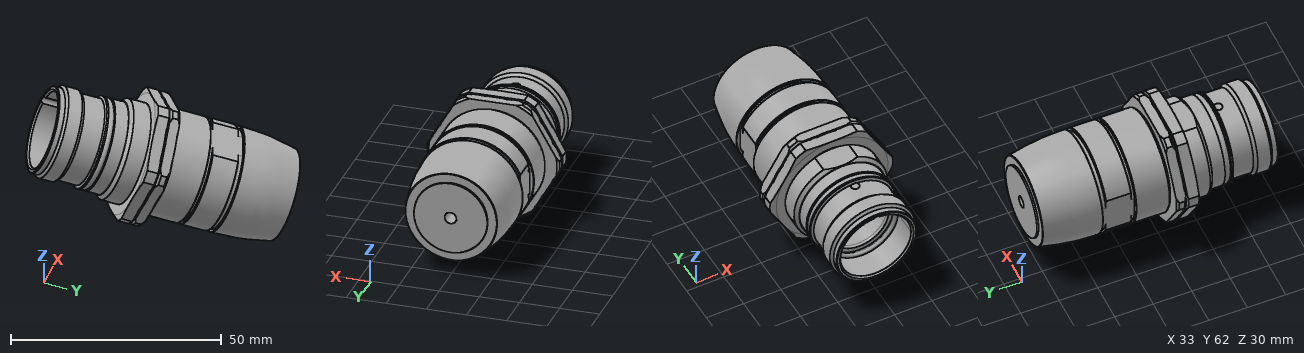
import cadquery as cq
import math

length = 61.95

rim_dia = 21.5
rim_chamfer = 0.2
collar_dia = 22.9
collar_front_at = 2.15
collar_front_chamfer = 0.6
collar_back_at = 5.65
neck_front_at = 6.45
flange_at = 11.95
flange_chamfer = 0.3
seal_groove_at = 12.4
seal_groove_dia = 20.8
shoulder_at = 14.1
barrel_at = 17.5
barrel_chamfer = 0.9
barrel_dia = 25.0
flange_lead_in_dia = 25.15
barrel_flat_height = 11.65

hex_corner_dia = 33.0
flange_hex_at = 22.8
flange_hex_width = 30.0
flange_hex_thickness = 3.05
flange_hex_corner_drop = 0.25
washer_thickness = 0.4
nut_width = 29.75
nut_thickness = 2.55
nut_face_dia = 31.9
nut_corner_chamfer = 0.55
washer_at = flange_hex_at + flange_hex_thickness
nut_at = washer_at + washer_thickness
nut_back_at = nut_at + nut_thickness

body_dia = 26.3
body_front_chamfer = 0.45
edge_break = 0.1
nut_gap = 0.1
body_at = nut_back_at + nut_gap
body_back_at = 37.9
ring_front_at = 38.7
ring_back_at = 45.35
cap_at = 46.45
groove_dia = 24.9
wrench_flat_width = 24.15
cap_back_at = 61.45
cap_back_dia = 22.9
plug_dia = 18.3

mouth_dia = 19.8
mouth_chamfer = 0.5
bore_dia = 18.95
bore_seal_inner_dia = 17.15
bore_seal_section_dia = 1.55
seat_depth = 8.75
bore_seal_middle = seat_depth - bore_seal_section_dia / 2
pocket_dia = 15.1
pocket_lead_in = 0.25
pocket_lead_in_depth = 0.85
pocket_floor_dia = 12.75
pocket_depth = 27.9
pocket_cone_angle = 30.0
cable_hole_dia = 2.9

pin_dia = 2.1
pin_at = 10.9
pin_top = 10.8
key_groove_dia = 2.15
key_groove_height = 9.1


def cylinder(dia, start, end):
    """Cylinder on the Y axis between two positions."""
    return cq.Workplane("XZ", origin=(0, start, 0)).circle(dia / 2).extrude(start - end)


def revolve_about_y(profile):
    """Close a half profile along the Y axis and turn it into a solid."""
    return profile.close().revolve(360, (0, 0, 0), (0, 1, 0))


def turned_body():
    """Everything that is round on the outside, as one half profile."""
    rim_r = rim_dia / 2
    collar_r = collar_dia / 2
    barrel_r = barrel_dia / 2
    body_r = body_dia / 2
    groove_r = groove_dia / 2
    seal_groove_r = seal_groove_dia / 2

    cap_back_r = cap_back_dia / 2
    cap_front_edge_at = cap_at + edge_break
    cap_back_edge_at = cap_back_at - edge_break
    cap_run = cap_back_edge_at - cap_front_edge_at
    cap_drop = body_r - cap_back_r
    cap_arc_r = (cap_run**2 + cap_drop**2) / (2 * cap_drop)
    cap_half_angle = math.asin(cap_run / cap_arc_r) / 2
    cap_middle_r = body_r - cap_arc_r * (1 - math.cos(cap_half_angle))
    cap_middle_at = cap_front_edge_at + cap_arc_r * math.sin(cap_half_angle)

    profile = (
        cq.Workplane("XY")
        .moveTo(0, 0)
        .lineTo(rim_r - rim_chamfer, 0)
        .lineTo(rim_r, rim_chamfer)
        .lineTo(rim_r, collar_front_at - collar_front_chamfer)
        .lineTo(collar_r, collar_front_at)
        .lineTo(collar_r, collar_back_at)
        .lineTo(rim_r, neck_front_at)
        .lineTo(rim_r, flange_at - flange_chamfer)
        .lineTo(collar_r, flange_at)
        .lineTo(collar_r, seal_groove_at)
        .lineTo(seal_groove_r, seal_groove_at)
        .lineTo(seal_groove_r, shoulder_at)
        .lineTo(collar_r, shoulder_at)
        .lineTo(collar_r, barrel_at)
        .lineTo(barrel_r - barrel_chamfer, barrel_at)
        .lineTo(barrel_r, barrel_at + barrel_chamfer)
        .lineTo(barrel_r, body_at)
        .lineTo(body_r - body_front_chamfer, body_at)
        .lineTo(body_r, body_at + body_front_chamfer)
        .lineTo(body_r, body_back_at - edge_break)
        .lineTo(body_r - edge_break, body_back_at)
        .lineTo(groove_r, body_back_at)
        .lineTo(groove_r, ring_front_at)
        .lineTo(body_r - edge_break, ring_front_at)
        .lineTo(body_r, ring_front_at + edge_break)
        .lineTo(body_r, ring_back_at - edge_break)
        .lineTo(body_r - edge_break, ring_back_at)
        .lineTo(groove_r, ring_back_at)
        .lineTo(groove_r, cap_at)
        .lineTo(body_r - edge_break, cap_at)
        .lineTo(body_r, cap_front_edge_at)
        .threePointArc((cap_middle_r, cap_middle_at), (cap_back_r, cap_back_edge_at))
        .lineTo(cap_back_r - edge_break, cap_back_at)
        .lineTo(plug_dia / 2, cap_back_at)
        .lineTo(plug_dia / 2, length)
        .lineTo(0, length)
    )
    return revolve_about_y(profile)


def o_ring(middle_r, middle_at, section_r):
    """Ring of round section around the Y axis."""
    section = cq.Workplane("XY").center(-middle_r, middle_at).circle(section_r)
    return section.revolve(360, (middle_r, 0, 0), (middle_r, 1, 0))


def outer_seal():
    """O-ring filling the seal groove, level with the shoulders beside it."""
    section_r = (shoulder_at - seal_groove_at) / 2
    return o_ring(collar_dia / 2 - section_r, seal_groove_at + section_r, section_r)


def bore_seal():
    """O-ring resting on the seat and set about half its thickness into the bore wall."""
    section_r = bore_seal_section_dia / 2
    return o_ring(bore_seal_inner_dia / 2 + section_r, bore_seal_middle, section_r)


def hex_prism(width, start, thickness):
    """Hexagon with flats facing +Z and -Z."""
    corner_dia = width / math.cos(math.pi / 6)
    return cq.Workplane("XZ", origin=(0, start, 0)).polygon(6, corner_dia).extrude(-thickness)


def flange_hex():
    """Hexagon with rounded corners that slope back slightly at the front."""
    corner_r = hex_corner_dia / 2
    envelope = revolve_about_y(
        cq.Workplane("XY")
        .moveTo(0, flange_hex_at)
        .lineTo(flange_hex_width / 2, flange_hex_at)
        .lineTo(corner_r, flange_hex_at + flange_hex_corner_drop)
        .lineTo(corner_r, washer_at)
        .lineTo(0, washer_at)
    )
    return hex_prism(flange_hex_width, flange_hex_at, flange_hex_thickness).intersect(envelope)


def lock_nut():
    """Hexagon with rounded corners chamfered on both faces."""
    corner_r = hex_corner_dia / 2
    face_r = nut_face_dia / 2
    envelope = revolve_about_y(
        cq.Workplane("XY")
        .moveTo(0, nut_at)
        .lineTo(face_r, nut_at)
        .lineTo(corner_r, nut_at + nut_corner_chamfer)
        .lineTo(corner_r, nut_back_at - nut_corner_chamfer)
        .lineTo(face_r, nut_back_at)
        .lineTo(0, nut_back_at)
    )
    return hex_prism(nut_width, nut_at, nut_thickness).intersect(envelope)


def barrel_flat():
    """Material above the flat on top of the barrel."""
    return (
        cq.Workplane("XY", origin=(0, (barrel_at + flange_hex_at) / 2, barrel_flat_height))
        .rect(barrel_dia, flange_hex_at - barrel_at)
        .extrude(barrel_dia / 2)
    )


def flange_lead_in():
    """Countersink around the flange opening, exposed only above the barrel flat."""
    mouth_r = flange_lead_in_dia / 2
    bottom_at = flange_hex_at + mouth_r - barrel_flat_height
    cone = revolve_about_y(
        cq.Workplane("XY")
        .moveTo(0, flange_hex_at)
        .lineTo(mouth_r, flange_hex_at)
        .lineTo(barrel_flat_height, bottom_at)
        .lineTo(0, bottom_at)
    )
    above_flat = cq.Workplane("XY", origin=(0, flange_hex_at, barrel_flat_height)).box(
        flange_lead_in_dia, flange_lead_in_dia, flange_lead_in_dia, centered=(True, True, False)
    )
    return cone.intersect(above_flat)


def wrench_flats():
    """Material outside the two wrench flats on the +X and -X sides."""
    run = cap_at - body_back_at
    middle = (cap_at + body_back_at) / 2
    around = cq.Workplane("XY").box(2 * body_dia, run, 2 * body_dia)
    kept = cq.Workplane("XY").box(wrench_flat_width, run, 2 * body_dia)
    return around.cut(kept).translate((0, middle, 0))


def bore():
    """Stepped socket with a flat seat and a coned pocket floor."""
    bore_r = bore_dia / 2
    pocket_r = pocket_dia / 2
    floor_r = pocket_floor_dia / 2
    cone_depth = (pocket_r - floor_r) * math.tan(math.radians(pocket_cone_angle))
    profile = (
        cq.Workplane("XY")
        .moveTo(0, 0)
        .lineTo(mouth_dia / 2, 0)
        .lineTo(bore_r, mouth_chamfer)
        .lineTo(bore_r, seat_depth)
        .lineTo(pocket_r + pocket_lead_in, seat_depth)
        .lineTo(pocket_r, seat_depth + pocket_lead_in_depth)
        .lineTo(pocket_r, pocket_depth - cone_depth)
        .lineTo(floor_r, pocket_depth)
        .lineTo(0, pocket_depth)
    )
    return revolve_about_y(profile)


def key_groove():
    """Round-bottomed keyway along the top of the bore, from the rim to the inner seal."""
    return cylinder(key_groove_dia, 0, bore_seal_middle).translate((0, 0, key_groove_height))


def locating_pin():
    """Pin set in the neck wall with a flat top just clear of the neck."""
    base = (rim_dia + bore_dia) / 4
    return cq.Workplane("XY", origin=(0, pin_at, base)).circle(pin_dia / 2).extrude(pin_top - base)


washer = cylinder(flange_hex_width, washer_at, nut_at)

result = (
    turned_body()
    .cut(barrel_flat())
    .cut(wrench_flats())
    .union(outer_seal())
    .union(flange_hex())
    .union(washer)
    .union(lock_nut())
    .cut(flange_lead_in())
    .cut(bore())
    .cut(key_groove())
    .cut(cylinder(cable_hole_dia, 0, length))
    .union(bore_seal())
    .union(locating_pin())
)